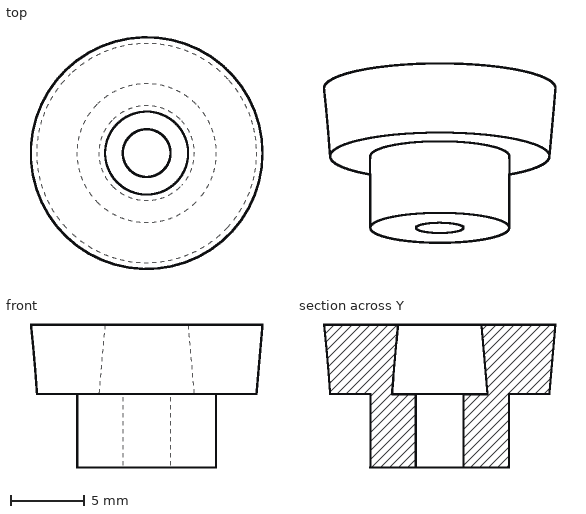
import cadquery as cq
import math

head_diameter = 15.83
head_height = 4.75
head_draft = 5.0
stem_diameter = 9.5
stem_length = 5.0
bore_diameter = 3.25
recess_mouth_diameter = 5.67
recess_draft = 5.0
recess_depth = head_height

total_height = stem_length + head_height
head_top_radius = head_diameter / 2
head_bottom_radius = head_top_radius - head_height * math.tan(math.radians(head_draft))
stem_radius = stem_diameter / 2
recess_floor = total_height - recess_depth
recess_mouth_radius = recess_mouth_diameter / 2
recess_floor_radius = recess_mouth_radius + recess_depth * math.tan(math.radians(recess_draft))

body = (
    cq.Workplane("XZ")
    .moveTo(0, 0)
    .lineTo(stem_radius, 0)
    .lineTo(stem_radius, stem_length)
    .lineTo(head_bottom_radius, stem_length)
    .lineTo(head_top_radius, total_height)
    .lineTo(0, total_height)
    .close()
    .revolve(360, (0, 0), (0, 1))
)

recess = (
    cq.Workplane("XZ")
    .moveTo(0, recess_floor)
    .lineTo(recess_floor_radius, recess_floor)
    .lineTo(recess_mouth_radius, total_height)
    .lineTo(0, total_height)
    .close()
    .revolve(360, (0, 0), (0, 1))
)

bore = cq.Workplane("XY").circle(bore_diameter / 2).extrude(total_height)

result = body.cut(recess).cut(bore)